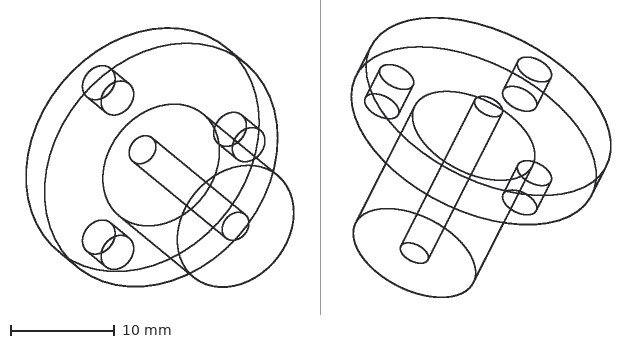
import cadquery as cq

flange_diameter = 25.4
flange_thickness = 3.8
hub_diameter = 12.7
overall_length = 19.05
bore_diameter = 2.92
bolt_hole_diameter = 3.55
bolt_circle_diameter = 19.05
bolt_hole_count = 3


def cylinder_along_x(diameter, length):
    """Solid cylinder on the X axis, starting at X = 0."""
    return cq.Workplane("YZ").circle(diameter / 2).extrude(length)


flange = cylinder_along_x(flange_diameter, flange_thickness)
hub = cylinder_along_x(hub_diameter, overall_length)

bore = cylinder_along_x(bore_diameter, overall_length)

bolt_holes = (
    cq.Workplane("YZ")
    .polarArray(bolt_circle_diameter / 2, 0, 360, bolt_hole_count)
    .circle(bolt_hole_diameter / 2)
    .extrude(flange_thickness)
)

result = flange.union(hub).cut(bore).cut(bolt_holes)